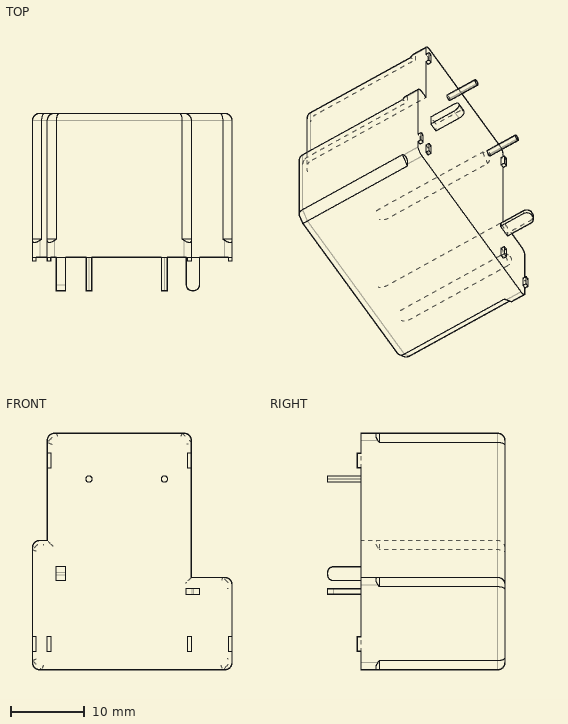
import cadquery as cq
import math

WIDTH = 27.0
HEIGHT = 32.0
DEPTH = 19.5
LEFT_STEP_WIDTH = 2.0
LEFT_STEP_TOP = 17.5
RIGHT_STEP_WIDTH = 5.5
RIGHT_STEP_TOP = 12.5
TOWER_LEFT = LEFT_STEP_WIDTH
TOWER_RIGHT = WIDTH - RIGHT_STEP_WIDTH

CORNER_RADIUS = 1.0
CHAMFER_LEG = 1.25
CHAMFER_START = 2.5
BACK_EDGE_RADIUS = 1.0

NUB_WIDTH = 0.5
NUB_LENGTH = 2.0
NUB_HEIGHT = 0.5
LOWER_NUB_Z = 2.5
UPPER_NUB_Z = 27.3

TERMINAL_LENGTH = 4.5
BLADE_TIP_RADIUS = 0.8

COIL_PIN_WIDTH = 0.8
COIL_PIN_HEIGHT = 0.86
COIL_PIN_CORNER_RADIUS = 0.38
COIL_PIN_SPACING = 10.2
COIL_PIN_LEFT_X = 7.65
COIL_PIN_Z = 25.8

LEFT_BLADE_X = 3.85
LEFT_BLADE_Z = 13.0
LEFT_BLADE_THICKNESS = 1.3
LEFT_BLADE_BREADTH = 1.9

RIGHT_BLADE_X = 21.7
RIGHT_BLADE_Z = 10.6
RIGHT_BLADE_THICKNESS = 0.8
RIGHT_BLADE_BREADTH = 1.8

CONVEX_CORNERS = [
    (0, 0, 1, 1),
    (WIDTH, 0, -1, 1),
    (WIDTH, RIGHT_STEP_TOP, -1, -1),
    (TOWER_RIGHT, HEIGHT, -1, -1),
    (TOWER_LEFT, HEIGHT, 1, -1),
    (0, LEFT_STEP_TOP, 1, -1),
]


def block(x_min, y_min, z_min, x_size, y_size, z_size):
    """Box placed by its lowest corner."""
    return cq.Workplane("XY").box(x_size, y_size, z_size, centered=False).translate((x_min, y_min, z_min))


def chamfer_cutter(x, z, x_dir, z_dir):
    """Flat cut across one corner, ramping out at 45 degrees toward the mounting face."""
    cut_depth = CHAMFER_LEG / math.sqrt(2)
    inward = (x_dir, 0, z_dir)
    sideways = (-z_dir, 0, x_dir)
    plane = cq.Plane(origin=(x, 0, z), xDir=inward, normal=sideways)
    toward_back = 1 if plane.yDir.y > 0 else -1
    profile = [
        (0, CHAMFER_START - cut_depth),
        (cut_depth, CHAMFER_START),
        (cut_depth, DEPTH),
        (0, DEPTH),
    ]
    outline = [(inset, toward_back * y) for inset, y in profile]
    return cq.Workplane(plane).polyline(outline).close().extrude(cut_depth, both=True)


def make_housing():
    """Stepped block with treated corners, a rounded back rim and standoff nubs in front."""
    body = (
        block(0, 0, 0, WIDTH, DEPTH, RIGHT_STEP_TOP)
        .union(block(0, 0, 0, TOWER_RIGHT, DEPTH, LEFT_STEP_TOP))
        .union(block(TOWER_LEFT, 0, 0, TOWER_RIGHT - TOWER_LEFT, DEPTH, HEIGHT))
    )
    for x, z, _, _ in CONVEX_CORNERS:
        body = body.edges(cq.selectors.NearestToPointSelector((x, DEPTH / 2, z))).fillet(CORNER_RADIUS)
    for corner in CONVEX_CORNERS:
        body = body.cut(chamfer_cutter(*corner))
    body = body.faces(">Y").edges().fillet(BACK_EDGE_RADIUS)

    tower_nubs = [TOWER_LEFT, TOWER_RIGHT - NUB_WIDTH]
    base_nubs = [0, *tower_nubs, WIDTH - NUB_WIDTH]
    for nub_xs, nub_z in ((base_nubs, LOWER_NUB_Z), (tower_nubs, UPPER_NUB_Z)):
        for nub_x in nub_xs:
            body = body.union(block(nub_x, -NUB_HEIGHT, nub_z, NUB_WIDTH, NUB_HEIGHT, NUB_LENGTH))
    return body


def make_coil_pin(x):
    """Nearly round terminal: a small rectangular bar with almost fully rounded long edges."""
    bar = cq.Workplane("XZ", origin=(x, 0, COIL_PIN_Z)).rect(COIL_PIN_WIDTH, COIL_PIN_HEIGHT)
    return bar.extrude(TERMINAL_LENGTH).edges("|Y").fillet(COIL_PIN_CORNER_RADIUS)


def make_blade(x, z, x_size, z_size, tip_edges):
    """Flat terminal standing on the mounting face, with the chosen edges of its tip rounded."""
    blade = cq.Workplane("XZ", origin=(x, 0, z)).rect(x_size, z_size).extrude(TERMINAL_LENGTH)
    return blade.faces("<Y").edges(tip_edges).fillet(BLADE_TIP_RADIUS)


housing = make_housing()
coil_pins = [make_coil_pin(COIL_PIN_LEFT_X + i * COIL_PIN_SPACING) for i in range(2)]
left_blade = make_blade(LEFT_BLADE_X, LEFT_BLADE_Z, LEFT_BLADE_THICKNESS, LEFT_BLADE_BREADTH, "|X")
right_blade = make_blade(RIGHT_BLADE_X, RIGHT_BLADE_Z, RIGHT_BLADE_BREADTH, RIGHT_BLADE_THICKNESS, "|Z")

result = cq.Compound.makeCompound([
    housing.val(),
    *[pin.val() for pin in coil_pins],
    left_blade.val(),
    right_blade.val(),
])